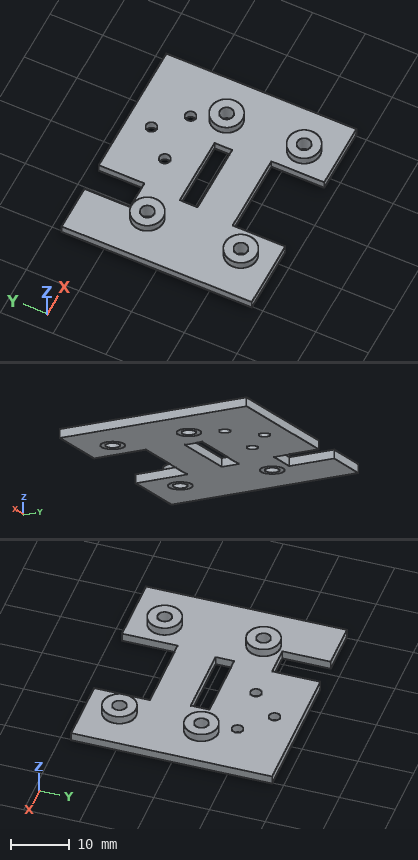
import cadquery as cq

plate_length = 40.5
plate_width = 36.1
total_height = 3.15
plate_thickness = 1.6

back_notch_left = 8.83
back_notch_right = 14.35
back_notch_depth = 8.65

front_notch_left = 13.05
front_notch_right = 28.03
front_notch_depth = 10.0

window_length = 13.35
window_width = 3.32
window_center = (20.55, 18.75)

small_hole_diameter = 2.0
triangle_center_x = 25.5
triangle_front_y = 26.55
triangle_half_base = 5.0
triangle_height = 5.0
small_hole_centers = [
    (triangle_center_x - triangle_half_base, triangle_front_y),
    (triangle_center_x + triangle_half_base, triangle_front_y),
    (triangle_center_x, triangle_front_y + triangle_height),
]

collar_diameter = 6.0
collar_height = total_height - plate_thickness
shank_diameter = 4.2
bore_diameter = 2.5
left_spacer_x = 8.25
right_spacer_x = 32.72
front_spacer_y = 6.1
left_back_spacer_y = 23.85
right_back_spacer_y = 20.8
spacer_centers = [
    (left_spacer_x, front_spacer_y),
    (right_spacer_x, front_spacer_y),
    (left_spacer_x, left_back_spacer_y),
    (right_spacer_x, right_back_spacer_y),
]


def make_plate():
    """Flat plate with two edge notches, a window and two sets of holes."""
    back_notch_floor = plate_width - back_notch_depth
    outline = [
        (0, 0),
        (front_notch_left, 0),
        (front_notch_left, front_notch_depth),
        (front_notch_right, front_notch_depth),
        (front_notch_right, 0),
        (plate_length, 0),
        (plate_length, plate_width),
        (back_notch_right, plate_width),
        (back_notch_right, back_notch_floor),
        (back_notch_left, back_notch_floor),
        (back_notch_left, plate_width),
        (0, plate_width),
    ]
    blank = cq.Workplane("XY").polyline(outline).close().extrude(plate_thickness)
    window = (
        cq.Workplane("XY")
        .center(*window_center)
        .rect(window_length, window_width)
        .extrude(plate_thickness)
    )
    small_holes = make_cylinders(small_hole_centers, small_hole_diameter)
    shank_holes = make_cylinders(spacer_centers, shank_diameter)
    return blank.cut(window).cut(small_holes).cut(shank_holes)


def make_cylinders(centers, diameter):
    """Cylinders through the plate thickness, used to cut its holes."""
    return cq.Workplane("XY").pushPoints(centers).circle(diameter / 2).extrude(plate_thickness)


def make_spacer(center):
    """Collar on the plate's top face, shank through the plate, and one bore through both."""
    shank = cq.Workplane("XY").center(*center).circle(shank_diameter / 2).extrude(plate_thickness)
    collar = (
        cq.Workplane("XY", origin=(*center, plate_thickness))
        .circle(collar_diameter / 2)
        .extrude(collar_height)
    )
    bore = cq.Workplane("XY").center(*center).circle(bore_diameter / 2).extrude(total_height)
    return shank.union(collar).cut(bore)


plate = make_plate()
spacers = [make_spacer(center) for center in spacer_centers]

result = cq.Compound.makeCompound([plate.val(), *[spacer.val() for spacer in spacers]])